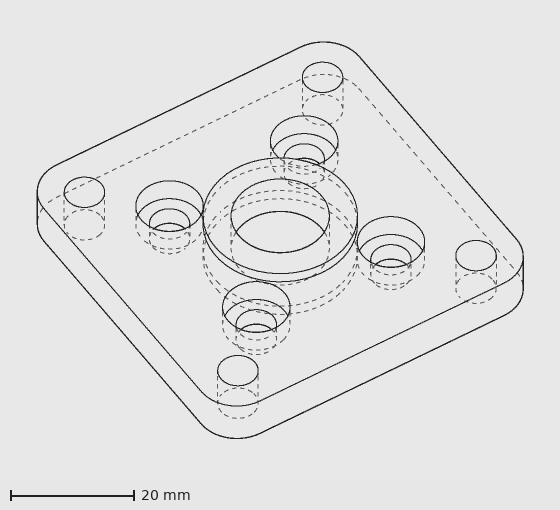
import cadquery as cq

side = 61.0
plate_thickness = 8.0
corner_radius = 6.9

total_height = 10.0
boss_diameter = 25.15
bore_diameter = 16.0

recess_diameter = boss_diameter
recess_depth = total_height - plate_thickness

screw_diameter = 6.6
corner_hole_spacing = 46.05
counterbore_diameter = 11.0
counterbore_depth = 4.4
inner_hole_spacing = 26.05


def square_pattern(body, spacing):
    """Four points on the plate's top face, at the corners of a centred square."""
    top_plane = body.copyWorkplane(cq.Workplane("XY", origin=(0, 0, plate_thickness)))
    return top_plane.rect(spacing, spacing, forConstruction=True).vertices()


plate = cq.Workplane("XY").rect(side, side).extrude(plate_thickness)
plate = plate.edges("|Z").fillet(corner_radius)

boss = cq.Workplane("XY").circle(boss_diameter / 2).extrude(total_height)
bore = cq.Workplane("XY").circle(bore_diameter / 2).extrude(total_height)
recess = cq.Workplane("XY").circle(recess_diameter / 2).extrude(recess_depth)
body = plate.union(boss).cut(bore).cut(recess)

body = square_pattern(body, corner_hole_spacing).hole(screw_diameter)
result = square_pattern(body, inner_hole_spacing).cboreHole(
    screw_diameter, counterbore_diameter, counterbore_depth
)